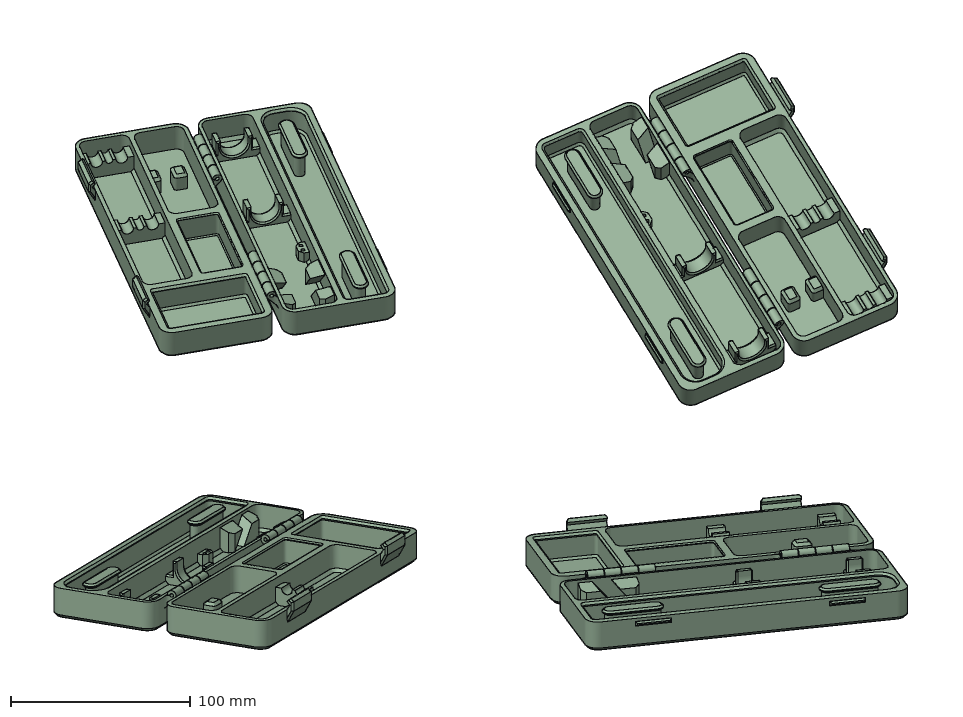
import cadquery as cq
import math

LENGTH = 185.8
WIDTH = 65.0
HEIGHT = 17.7
HALF_GAP = 3.0
CORNER_R = 7.5
BOTTOM_CHAMFER = 1.9
RIM_CHAMFER_DROP = 0.2
RIM_CHAMFER_RUN = 1.1
FLOOR = 2.0
OUTER_Y = HALF_GAP + WIDTH

CLEAT_POCKET = (-89.7, 89.7, 37.7, 64.3)
CLEAT_POCKET_ROUND_R = 9.7
CLEAT_POCKET_CORNER_R = 3.3
LID_TOOL_POCKET = (-90.3, 90.3, 5.0, 34.4)
POST_POCKET = (-89.7, -12.3, -34.2, -5.5)
MIDDLE_POCKET = (-7.5, 44.5, -32.3, -7.6)
END_POCKET = (51.1, 88.8, -63.7, -7.6)
BASE_TOOL_POCKET = (-90.3, 47.0, -65.5, -37.0)
LARGE_POCKET_R = 4.5
SMALL_POCKET_R = 1.9
TOOL_FLOOR_CHAMFER = 1.9
LARGE_LIP = 1.3
SMALL_LIP = 0.7

FITTING_CENTERS = (-56.5, 55.5)
KNUCKLE_R = 2.8
KNUCKLE_PITCH = 9.8
KNUCKLES_PER_HINGE = 4
KNUCKLE_CLEARANCE = 0.4
BORE_D = 2.0
FLARE_R = HALF_GAP

LATCH_LENGTH = 23.0
LATCH_OUT = 3.9
LATCH_TOP = 24.0
LATCH_FOOT = 9.8
LATCH_KNEE = 17.0
LATCH_SHOULDER = 22.3
LATCH_NOSE_DROP = 1.7
LATCH_NOSE_GAP = 0.2
LATCH_NECK = 20.0
LATCH_NECK_DEPTH = 1.9
LATCH_END_CHAMFER = 1.1
LATCH_BEVEL_LIMIT = 1.5

CATCH_LENGTH = 20.6
CATCH_OUT = 1.3
CATCH_BOTTOM = 13.0
CATCH_TOP = 15.6
CATCH_CHAMFER = 1.0

CLEAT_CENTERS = (-62.6, 62.6)
CLEAT_Y = 51.0
CLEAT_LENGTH = 35.3
CLEAT_WIDTH = 9.1
CLEAT_STEM_INSET = 1.5
CLEAT_HEAD_THICK = 2.6
CLEAT_CHAMFER = 1.1

CLIP_CENTERS = (-76.5, -12.8)
CLIP_LENGTH = 9.7
CLIP_BORE_R = 8.0
CLIP_WALL = 2.6
CLIP_AXIS_Z = 12.0
CLIP_TOP = 15.8
CLIP_SHOULDER = 7.5
CLIP_CHAMFER = 1.0

SOCKET_X0 = 20.3
SOCKET_LENGTH = 10.0
SOCKET_DEPTH = 5.8
SOCKET_TOP = 8.5
SOCKET_CHAMFER = 2.6
SOCKET_HOLE_PITCH = 4.0
SOCKET_HOLE_D = 2.0
SOCKET_HOLE_DEPTH = 3.7
SOCKET_HOLE_SETBACK = 3.0

REST_X0 = 47.5
REST_LENGTH = 33.8
REST_DEPTH = 7.8
REST_TOP = 16.0
REST_TOP_SLOPE = 22.0
REST_CHAMFER = 2.6
REST_SLOT_X = 62.2
REST_SLOT_WIDTH = 11.1
REST_SLOT_ANGLE = 49.0

SADDLE_CENTERS = (-81.2, -17.3)
SADDLE_LENGTH = 9.8
SADDLE_TOP = 12.5
SADDLE_GROOVE_R = 3.3
SADDLE_GROOVE_OFFSET = 7.2
SADDLE_MIDDLE_R = 2.0

POST_X0 = -63.0
POST_LENGTH = 10.2
POST_TOP = 12.0
POST_CORNER_R = 1.9
POST_CHAMFER = 1.7
POST_RANGES = ((-20.3, -12.3), (-34.2, -27.5))


def box(x0, x1, y0, y1, z0, z1):
    return cq.Workplane("XY").box(x1 - x0, y1 - y0, z1 - z0, centered=False).translate((x0, y0, z0))


def along_x(points, x0, x1):
    """Prism along X from a closed list of (y, z) points."""
    return cq.Workplane("YZ").polyline(points).close().extrude(x1 - x0).translate((x0, 0, 0))


def rod_along_x(y, z, radius, x0, x1):
    return cq.Workplane("YZ").center(y, z).circle(radius).extrude(x1 - x0).translate((x0, 0, 0))


def shell(y0, y1):
    body = box(-LENGTH / 2, LENGTH / 2, y0, y1, 0, HEIGHT).edges("|Z").fillet(CORNER_R)
    body = body.faces("<Z").chamfer(BOTTOM_CHAMFER)
    return body.faces(">Z").chamfer(RIM_CHAMFER_DROP, RIM_CHAMFER_RUN)


def round_ends(body, left_radius, right_radius):
    return body.edges("|Z and <X").fillet(left_radius).edges("|Z and >X").fillet(right_radius)


def cut_pocket(body, bounds, radius, floor_chamfer):
    """Plain pocket; a zero floor chamfer leaves the floor edge sharp."""
    cutter = box(*bounds, FLOOR, HEIGHT).edges("|Z").fillet(radius)
    if floor_chamfer:
        cutter = cutter.faces("<Z").chamfer(floor_chamfer)
    return body.cut(cutter)


def cut_lipped_pocket(body, bounds, left_radius, right_radius, lip):
    """Pocket whose wall carries a pointed ridge just under the rim."""
    x0, x1, y0, y1 = bounds
    ridge_z = HEIGHT - lip
    lower = round_ends(box(x0, x1, y0, y1, FLOOR, ridge_z), left_radius, right_radius)
    lower = lower.faces("<Z or >Z").chamfer(lip)
    mouth = round_ends(box(x0, x1, y0, y1, ridge_z, HEIGHT + lip), left_radius, right_radius)
    mouth = mouth.faces("<Z").chamfer(lip)
    return body.cut(lower).cut(mouth)


def knuckle(center_x, index, side):
    """One hinge knuckle; side is 1 or -1 for the half it is joined to."""
    start = center_x + (index - KNUCKLES_PER_HINGE / 2) * KNUCKLE_PITCH
    x0 = start + KNUCKLE_CLEARANCE / 2
    x1 = start + KNUCKLE_PITCH - KNUCKLE_CLEARANCE / 2
    tangent = KNUCKLE_R * math.sqrt(0.5)
    wall_y = HALF_GAP
    arm_points = [
        (side * -tangent, HEIGHT - tangent),
        (side * wall_y, HEIGHT - 2 * tangent - wall_y),
        (side * wall_y, HEIGHT),
        (0, HEIGHT),
    ]
    body = rod_along_x(0, HEIGHT, KNUCKLE_R, x0, x1).union(along_x(arm_points, x0, x1))
    if index in (0, KNUCKLES_PER_HINGE - 1):
        outward = -1 if index == 0 else 1
        end_x = x0 if index == 0 else x1
        tip_x = end_x + outward * FLARE_R
        bend = FLARE_R * (1 - math.sqrt(0.5))
        flare = (
            cq.Workplane("XY")
            .moveTo(end_x, 0)
            .threePointArc((end_x + outward * bend, side * (wall_y - bend)), (tip_x, side * wall_y))
            .lineTo(end_x, side * wall_y)
            .close()
            .extrude(HEIGHT)
        )
        body = body.union(flare.intersect(along_x(arm_points, min(end_x, tip_x), max(end_x, tip_x))))
    return body.cut(rod_along_x(0, HEIGHT, BORE_D / 2, x0 - FLARE_R, x1 + FLARE_R))


def hinge_side(side):
    """All knuckles of one half; the two hinges mirror each other."""
    knuckles = cq.Workplane("XY")
    for center_x in FITTING_CENTERS:
        lid_first = center_x < 0
        for index in range(KNUCKLES_PER_HINGE):
            on_lid = (index % 2 == 0) == lid_first
            if on_lid == (side > 0):
                knuckles = knuckles.add(knuckle(center_x, index, side))
    return knuckles


def catch(center_x):
    x0 = center_x - CATCH_LENGTH / 2
    body = box(x0, x0 + CATCH_LENGTH, OUTER_Y, OUTER_Y + CATCH_OUT, CATCH_BOTTOM, CATCH_TOP)
    return body.faces(">Y").edges().chamfer(CATCH_CHAMFER)


def cleat(center_x):
    """Oblong post with an overhanging head."""
    base = cq.Workplane("XY").center(center_x, CLEAT_Y)
    stem_length = CLEAT_LENGTH - 2 * CLEAT_STEM_INSET
    stem_width = CLEAT_WIDTH - 2 * CLEAT_STEM_INSET
    stem_height = HEIGHT - FLOOR - CLEAT_HEAD_THICK
    stem = base.workplane(offset=FLOOR).slot2D(stem_length, stem_width).extrude(stem_height)
    head = base.workplane(offset=HEIGHT - CLEAT_HEAD_THICK).slot2D(CLEAT_LENGTH, CLEAT_WIDTH)
    head = head.extrude(CLEAT_HEAD_THICK).faces("<Z or >Z").chamfer(CLEAT_CHAMFER)
    return stem.union(head)


def clip(center_x):
    """Upright cradle: a round seat between two arms, on a shoulder that spans the tool pocket."""
    y0, y1 = LID_TOOL_POCKET[2:]
    middle = (y0 + y1) / 2
    reach = CLIP_BORE_R + CLIP_WALL
    x0 = center_x - CLIP_LENGTH / 2
    x1 = center_x + CLIP_LENGTH / 2
    shoulder = box(x0, x1, y0 - CLIP_CHAMFER, y1 + CLIP_CHAMFER, FLOOR - CLIP_CHAMFER, CLIP_SHOULDER)
    arms = box(x0, x1, middle - reach, middle + reach, FLOOR - CLIP_CHAMFER, CLIP_TOP)
    body = shoulder.union(arms)
    body = body.cut(rod_along_x(middle, CLIP_AXIS_Z, CLIP_BORE_R, x0, x1))
    body = body.cut(box(x0, x1, middle - CLIP_BORE_R, middle + CLIP_BORE_R, CLIP_AXIS_Z, CLIP_TOP))
    return body.faces("<X or >X").chamfer(CLIP_CHAMFER)


def socket():
    """Small block on the pocket wall with two holes in its top."""
    wall_y = LID_TOOL_POCKET[3]
    x1 = SOCKET_X0 + SOCKET_LENGTH
    body = box(SOCKET_X0, x1, wall_y - SOCKET_DEPTH, wall_y, FLOOR, SOCKET_TOP)
    body = body.edges("|Z and <Y").chamfer(SOCKET_CHAMFER)
    middle = (SOCKET_X0 + x1) / 2
    half_pitch = SOCKET_HOLE_PITCH / 2
    holes = (
        cq.Workplane("XY", origin=(middle, wall_y - SOCKET_HOLE_SETBACK, SOCKET_TOP))
        .pushPoints([(-half_pitch, 0), (half_pitch, 0)])
        .circle(SOCKET_HOLE_D / 2)
        .extrude(-SOCKET_HOLE_DEPTH)
    )
    return body.cut(holes)


def rest(wall_y, inward):
    """Block on a pocket wall with a sloped top; inward is the Y direction of the pocket middle."""
    inner_y = wall_y + inward * REST_DEPTH
    inner_top = REST_TOP - REST_DEPTH * math.tan(math.radians(REST_TOP_SLOPE))
    points = [(wall_y, FLOOR), (inner_y, FLOOR), (inner_y, inner_top), (wall_y, REST_TOP)]
    body = along_x(points, REST_X0, REST_X0 + REST_LENGTH)
    return body.edges("|Z").edges(">Y" if inward > 0 else "<Y").chamfer(REST_CHAMFER)


def rest_slot():
    """Slanted channel that crosses both rests."""
    y0, y1 = LID_TOOL_POCKET[2:]
    lean = (REST_TOP - FLOOR) / math.tan(math.radians(REST_SLOT_ANGLE))
    top_x = (REST_SLOT_X, REST_SLOT_X + REST_SLOT_WIDTH)
    points = [(top_x[0], REST_TOP), (top_x[1], REST_TOP), (top_x[1] - lean, FLOOR), (top_x[0] - lean, FLOOR)]
    return cq.Workplane("XZ").polyline(points).close().extrude(y0 - y1).translate((0, y0, 0))


def saddle(center_x):
    """Low block across the tool pocket with two round seats and a smaller groove between them."""
    y0, y1 = BASE_TOOL_POCKET[2:]
    middle = (y0 + y1) / 2
    x0 = center_x - SADDLE_LENGTH / 2
    x1 = center_x + SADDLE_LENGTH / 2
    body = box(x0, x1, y0, y1, FLOOR, SADDLE_TOP)
    for offset in (-SADDLE_GROOVE_OFFSET, SADDLE_GROOVE_OFFSET):
        body = body.cut(rod_along_x(middle + offset, SADDLE_TOP, SADDLE_GROOVE_R, x0, x1))
    return body.cut(rod_along_x(middle, SADDLE_TOP, SADDLE_MIDDLE_R, x0, x1))


def post(y0, y1):
    """Rounded post; one that starts at the pocket wall keeps that side square."""
    body = box(POST_X0, POST_X0 + POST_LENGTH, y0, y1, FLOOR, POST_TOP)
    if y0 > POST_POCKET[2]:
        return body.edges("|Z").fillet(POST_CORNER_R).faces(">Z").chamfer(POST_CHAMFER)
    body = body.edges("|Z and >Y").fillet(POST_CORNER_R)
    return body.faces(">Z").edges("not <Y").chamfer(POST_CHAMFER)


def latch(center_x):
    """Hooked clip on the front wall, bevelled along the outside of both ends."""
    wall_y = -OUTER_Y
    outer_y = wall_y - LATCH_OUT
    neck_y = wall_y - LATCH_NECK_DEPTH
    profile = [
        (wall_y, LATCH_FOOT),
        (outer_y, LATCH_KNEE),
        (outer_y, LATCH_SHOULDER),
        (neck_y, LATCH_TOP),
        (wall_y - LATCH_NOSE_GAP, LATCH_TOP - LATCH_NOSE_DROP),
        (neck_y, LATCH_NECK),
        (wall_y, HEIGHT - RIM_CHAMFER_DROP),
    ]
    x0 = center_x - LATCH_LENGTH / 2
    x1 = x0 + LATCH_LENGTH
    inner_limit = wall_y - LATCH_BEVEL_LIMIT
    outside = cq.selectors.BoxSelector((x0 - 1.9, outer_y - 1.9, 0), (x1 + 1.9, inner_limit, LATCH_TOP))
    return along_x(profile, x0, x1).edges("#X").edges(outside).chamfer(LATCH_END_CHAMFER).solids()


def make_lid():
    body = shell(HALF_GAP, OUTER_Y)
    body = cut_lipped_pocket(body, CLEAT_POCKET, CLEAT_POCKET_ROUND_R, CLEAT_POCKET_CORNER_R, LARGE_LIP)
    body = cut_pocket(body, LID_TOOL_POCKET, LARGE_POCKET_R, TOOL_FLOOR_CHAMFER)
    rests = rest(LID_TOOL_POCKET[3], -1).union(rest(LID_TOOL_POCKET[2], 1)).cut(rest_slot())
    body = body.union(rests).union(socket())
    for center_x in CLEAT_CENTERS:
        body = body.union(cleat(center_x))
    for center_x in CLIP_CENTERS:
        body = body.union(clip(center_x))
    for center_x in FITTING_CENTERS:
        body = body.union(catch(center_x))
    return body.union(hinge_side(1))


def make_base():
    body = shell(-OUTER_Y, -HALF_GAP)
    body = cut_pocket(body, POST_POCKET, LARGE_POCKET_R, 0)
    body = cut_lipped_pocket(body, MIDDLE_POCKET, SMALL_POCKET_R, SMALL_POCKET_R, SMALL_LIP)
    body = cut_lipped_pocket(body, END_POCKET, SMALL_POCKET_R, SMALL_POCKET_R, LARGE_LIP)
    body = cut_pocket(body, BASE_TOOL_POCKET, LARGE_POCKET_R, TOOL_FLOOR_CHAMFER)
    for center_x in SADDLE_CENTERS:
        body = body.union(saddle(center_x))
    for y_range in POST_RANGES:
        body = body.union(post(*y_range))
    return body.union(hinge_side(-1))


lid = make_lid().solids()
base = make_base().solids()
latches = [latch(center_x) for center_x in FITTING_CENTERS]

result = cq.Compound.makeCompound([lid.val(), base.val(), *[body.val() for body in latches]])